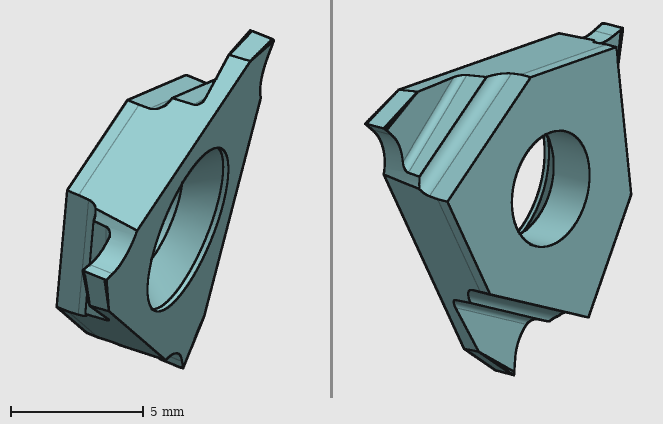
import cadquery as cq
import math

thickness = 3.18
tooth_count = 3
cut_reach = 27.56

inscribed_radius = 4.71
band_width = 0.5
relief_angle = 4.3

hole_radius = 2.25
bore_length = 1.79
cone_end = 2.96
mouth_radius = 3.32

tip = (-6.7, 4.31)
bevel_start = (-6.45, 2.0)
scallop_center = (-5.53, 5.9)
scallop_radius = 1.92
tip_land = 0.55
land_angle = 20.0

tip_rake_depth = 2.18
bevel_rake_depth = 2.35
rake_facet_width = 0.12
rake_facet_height = 0.05
back_facet_width = 0.03
back_facet_height = 0.08

step_angle = 8.1
upper_wall = 4.42
upper_floor = 1.43
upper_fillet = 0.51
lower_wall = upper_wall + upper_fillet
lower_wall_lean = 2.5
lower_fillet = 0.28
rake_depth = 2.5
rake_tilt = 3.6
rake_rise = 3.0


def triangle(radius, x):
    """Triangle with the given inscribed radius, one flat side facing +Z."""
    half_side = radius * math.sqrt(3)
    corners = [(-half_side, radius), (half_side, radius), (0, -2 * radius)]
    return cq.Workplane("YZ", origin=(x, 0, 0)).polyline(corners).close()


def make_body():
    band = triangle(inscribed_radius, 0).extrude(band_width)
    relief = triangle(inscribed_radius, band_width).extrude(thickness - band_width, taper=relief_angle)
    return band.union(relief)


def make_tooth_profile_cut():
    """Removes the triangle corner outside the scallop, tip and bevel."""
    bevel_slope = (tip[0] - bevel_start[0]) / (tip[1] - bevel_start[1])
    bevel_foot_y = bevel_start[0] - bevel_slope * bevel_start[1]
    land_slope = math.radians(land_angle)
    land_end = (tip[0] + tip_land * math.cos(land_slope), tip[1] - tip_land * math.sin(land_slope))
    bottom = (scallop_center[0], scallop_center[1] - scallop_radius)
    exit_point = (scallop_center[0] + scallop_radius, scallop_center[1])
    return (
        cq.Workplane("YZ")
        .moveTo(bevel_foot_y, 0)
        .lineTo(*tip)
        .lineTo(*land_end)
        .threePointArc(bottom, exit_point)
        .lineTo(exit_point[0], cut_reach)
        .lineTo(-cut_reach, cut_reach)
        .lineTo(-cut_reach, 0)
        .close()
        .extrude(thickness)
    )


def step_cutter(wall, floor, fillet, lean=0.0, rise=0.0):
    """Straight cutter along Z: a leaning wall filleted into a floor."""
    wall_slope = math.tan(math.radians(lean))
    wall_foot = wall + (floor - upper_floor) * wall_slope
    wall_top = wall - (upper_floor + cut_reach) * wall_slope
    floor_end = floor - (cut_reach - wall_foot) * math.tan(math.radians(rise))
    outline = [
        (-cut_reach, -wall_top),
        (floor, -wall_foot),
        (floor_end, -cut_reach),
        (-cut_reach, -cut_reach),
    ]
    cutter = cq.Workplane("XY", origin=(0, 0, -cut_reach / 2)).polyline(outline).close().extrude(cut_reach)
    inner_corner = cq.selectors.NearestToPointSelector((floor, -wall_foot, 0))
    return cutter.edges(inner_corner).fillet(fillet)


def make_chip_breaker():
    upper = step_cutter(upper_wall, upper_floor, upper_fillet)
    lower = step_cutter(lower_wall, rake_depth, lower_fillet, lower_wall_lean, rake_rise)
    lower = lower.rotate((rake_depth, 0, 0), (rake_depth, 1, 0), -rake_tilt)
    steps = upper.union(lower).rotate((0, 0, 0), (1, 0, 0), -step_angle)
    tooth_zone = cq.Workplane("XY").box(2 * thickness, cut_reach, cut_reach).translate((0, -cut_reach / 2, 0))
    return steps.intersect(tooth_zone)


def tetrahedron(a, b, c, d):
    faces = []
    for corners in ((a, b, c), (a, b, d), (a, c, d), (b, c, d)):
        wire = cq.Wire.makePolygon([cq.Vector(*corner) for corner in corners], close=True)
        faces.append(cq.Face.makeFromWires(wire))
    return cq.Workplane(obj=cq.Solid.makeSolid(cq.Shell.makeShell(faces)))


def make_tip_facet(tip_x, start_x, width, height):
    """Thin wedge over one edge of the bevel; height is signed towards the middle of the bevel."""
    end = (start_x, *bevel_start)
    edge_tip = (tip_x, *tip)
    on_bevel = (tip_x + height, *tip)
    on_face = (tip_x, tip[0] + width, tip[1])
    return tetrahedron(end, edge_tip, on_bevel, on_face)


def make_hole():
    """Bore that flares through a cone into a short, wide mouth at the +X face."""
    profile = [
        (0, 0),
        (0, hole_radius),
        (bore_length, hole_radius),
        (cone_end, mouth_radius),
        (thickness, mouth_radius),
        (thickness, 0),
    ]
    return cq.Workplane("XY").polyline(profile).close().revolve(360, (0, 0, 0), (1, 0, 0))


result = make_body().cut(make_hole())
tooth_cuts = [
    make_tooth_profile_cut(),
    make_chip_breaker(),
    make_tip_facet(tip_rake_depth, bevel_rake_depth, rake_facet_width, rake_facet_height),
    make_tip_facet(thickness, thickness, back_facet_width, -back_facet_height),
]
for index in range(tooth_count):
    for tooth_cut in tooth_cuts:
        result = result.cut(tooth_cut.rotate((0, 0, 0), (1, 0, 0), index * 360 / tooth_count))